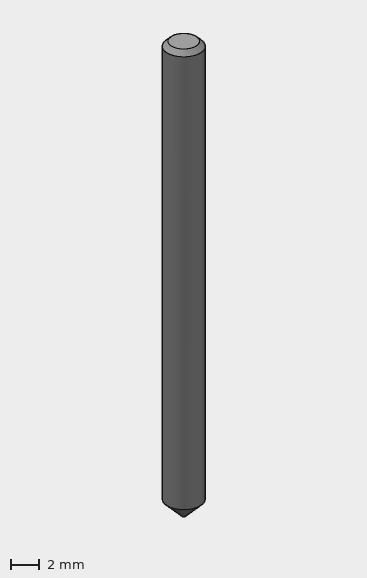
import cadquery as cq

diameter = 3.0
length = 38.0
top_chamfer = 0.4
tip_diameter = 0.2

radius = diameter / 2
tip_radius = tip_diameter / 2
point_height = radius - tip_radius


def make_pin():
    """Round pin along Z with a blunted point at the bottom and a chamfered top end."""
    half_profile = (
        cq.Workplane("XZ")
        .moveTo(0, 0)
        .lineTo(tip_radius, 0)
        .lineTo(radius, point_height)
        .lineTo(radius, length - top_chamfer)
        .lineTo(radius - top_chamfer, length)
        .lineTo(0, length)
        .close()
    )
    return half_profile.revolve(360, (0, 0, 0), (0, 1, 0))


result = make_pin()